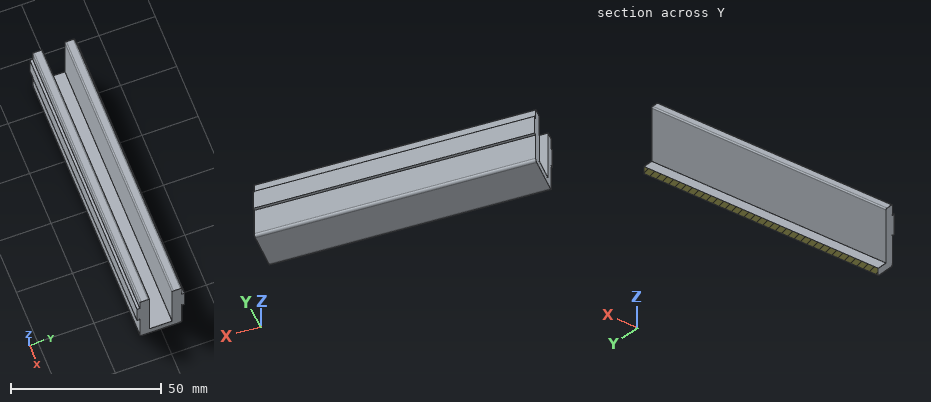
import cadquery as cq

length = 100.0
height = 24.5
body_width = 15.0
slot_width = 8.0
floor_thickness = 3.0

band_projection = 1.0
band_bottom = 12.1
band_height = 8.0

bottom_radius = 1.0
top_radius = 0.5


def bar(width, bar_height, bottom):
    """Full-length bar centred on Y, with its underside at the given height."""
    return (
        cq.Workplane("XY")
        .box(length, width, bar_height, centered=(True, True, False))
        .translate((0, 0, bottom))
    )


body = bar(body_width, height, 0)
body = body.faces("<Z").edges("|X").fillet(bottom_radius)

bands = bar(body_width + 2 * band_projection, band_height, band_bottom)

slot = bar(slot_width, height - floor_thickness, floor_thickness)

result = body.union(bands).cut(slot)

result = result.faces(">Z").edges("|X").fillet(top_radius)